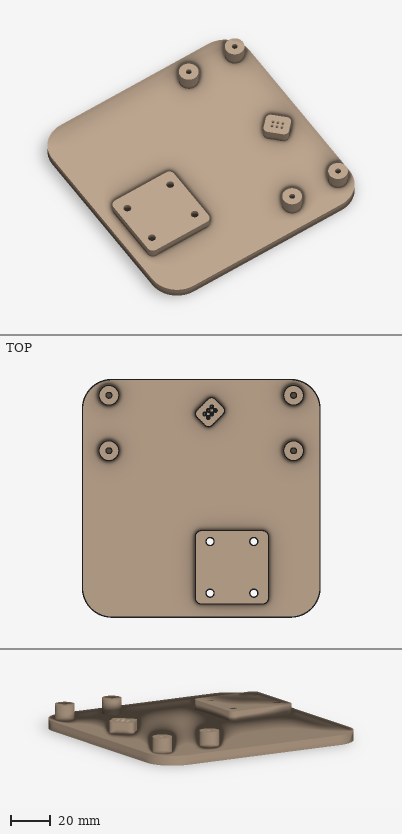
import cadquery as cq

plate_side = 120.0
plate_thickness = 5.0
plate_corner_radius = 15.0

overall_height = 13.0
standoff_height = overall_height - plate_thickness
standoff_diameter = 10.0
standoff_bore = 3.0
standoff_x = 46.5
standoff_rows_y = (24.0, 52.0)

pad_side = 37.0
pad_height = 5.0
pad_corner_radius = 3.0
pad_center = (15.5, -34.8)
pad_hole_diameter = 4.0
pad_hole_spacing_x = 22.1
pad_hole_spacing_y = 26.0
pad_hole_columns = 2
pad_hole_rows = 2

block_length = 13.0
block_width = 10.8
block_height = 6.0
block_corner_radius = 2.5
block_center = (4.5, 43.5)
block_angle = 45.0
pin_hole_diameter = 0.9
pin_sink_diameter = 1.9
pin_sink_depth = (pin_sink_diameter - pin_hole_diameter) / 2
pin_pitch = 2.5
pin_columns = 3
pin_rows = 2


def rounded_slab(length, width, height, corner_radius):
    """Slab standing on Z = 0 with rounded vertical edges."""
    slab = cq.Workplane("XY").box(length, width, height, centered=(True, True, False))
    return slab.edges("|Z").fillet(corner_radius)


def hole_grid(spacing_x, spacing_y, columns, rows, diameter, depth):
    """Centred grid of cylinders rising from Z = 0."""
    grid = cq.Workplane("XY").rarray(spacing_x, spacing_y, columns, rows)
    return grid.circle(diameter / 2).extrude(depth)


def place_on_block(shape, base_z):
    """Turn a shape to the block's angle and move it to the block's centre."""
    turned = shape.rotate((0, 0, 0), (0, 0, 1), block_angle)
    return turned.translate((*block_center, base_z))


plate = rounded_slab(plate_side, plate_side, plate_thickness, plate_corner_radius)

standoff_points = [(side * standoff_x, y) for side in (-1, 1) for y in standoff_rows_y]
standoffs = (
    cq.Workplane("XY", origin=(0, 0, plate_thickness))
    .pushPoints(standoff_points)
    .circle(standoff_diameter / 2)
    .circle(standoff_bore / 2)
    .extrude(standoff_height)
)

pad = rounded_slab(pad_side, pad_side, pad_height, pad_corner_radius)
pad = pad.translate((*pad_center, plate_thickness))
pad_holes = hole_grid(
    pad_hole_spacing_x,
    pad_hole_spacing_y,
    pad_hole_columns,
    pad_hole_rows,
    pad_hole_diameter,
    plate_thickness + pad_height,
)
pad_holes = pad_holes.translate((*pad_center, 0))

block = rounded_slab(block_length, block_width, block_height, block_corner_radius)
block = place_on_block(block, plate_thickness)
pin_holes = hole_grid(
    pin_pitch, pin_pitch, pin_columns, pin_rows, pin_hole_diameter, plate_thickness + block_height
)
pin_holes = place_on_block(pin_holes, 0)
pin_sinks = (
    cq.Workplane("XY")
    .rarray(pin_pitch, pin_pitch, pin_columns, pin_rows)
    .eachpoint(cq.Solid.makeCone(pin_hole_diameter / 2, pin_sink_diameter / 2, pin_sink_depth))
)
pin_sinks = place_on_block(pin_sinks, plate_thickness + block_height - pin_sink_depth)

solid_body = plate.union(standoffs).union(pad).union(block)
result = solid_body.cut(pad_holes).cut(pin_holes).cut(pin_sinks)